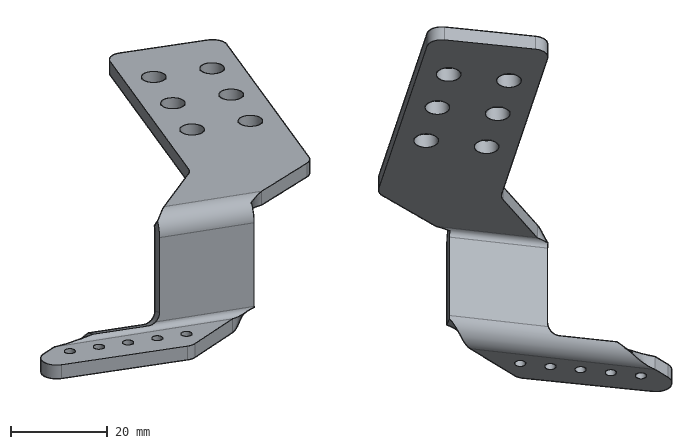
import cadquery as cq
import math

length = 84.7
height = 28.55
thickness = 3.2
inner_radius = 1.35
outer_radius = inner_radius + thickness
corner_radius = 3.1
skew_slope = math.tan(math.radians(1.1))
margin = 8.5

plate_width = 25.4
plate_back_end = 59.3
plate_front_end = 56.25
plate_hole_diameter = 5.1
plate_hole_pitch = 12.7
plate_hole_columns = 3
plate_hole_rows = 2

web_face = 74.4
web_inside = web_face - thickness
web_back = 8.05
web_front = -12.7
plate_back = 11.2
plate_front = -10.25

tip_y = -40.7
tip_radius = 3.3
tip_edge_angle = math.radians(53)
tip_edge_slope = math.tan(tip_edge_angle)
tip_center_x = length - tip_radius
tip_center_y = tip_y + tip_radius
tip_tangent_x = tip_center_x - tip_radius * math.sin(tip_edge_angle)
tip_tangent_y = tip_center_y - tip_radius * math.cos(tip_edge_angle)
flange_start = web_face + inner_radius
lower_bend_z = -height + outer_radius
flange_back = 2.9
flange_back_corner = -8.9
flange_front = tip_tangent_y + (tip_tangent_x - flange_start) * tip_edge_slope
flange_front /= 1 - skew_slope * tip_edge_slope
flange_hole_diameter = 2.3
flange_hole_x = 79.3
flange_hole_start = -8.4
flange_hole_pitch = 6.35
flange_hole_count = 5

upper_back_angle = 55.0
upper_front_angle = 45.0
lower_back_angle = 190.0
notch_angle = 200.0
notch_end_y = -27.4
notch_radius = 2.5
trim_inner = inner_radius / 3
trim_outer = 2 * outer_radius


def extrude_along_y(sketch, y_from, y_to):
    """Extrude an XZ sketch drawn at Y = y_to down to y_from."""
    return sketch.extrude(y_to - y_from)


def skew_shift(y):
    """X offset of the bend lines at a given Y."""
    return -y * skew_slope


def bend_center(upper, y):
    """X and Z of a bend axis at a given Y."""
    if upper:
        return (web_inside - inner_radius + skew_shift(y), -outer_radius)
    return (flange_start + skew_shift(y), lower_bend_z)


def polar(center, radius, angle):
    """X and Z at a radius and angle (degrees) around a bend axis."""
    turn = math.radians(angle)
    return (center[0] + radius * math.cos(turn), center[1] + radius * math.sin(turn))


def bent_sheet():
    """Z-shaped sheet section, extruded along the skewed bend direction."""
    y_from = tip_y - margin
    y_to = plate_width + margin
    upper_center = bend_center(True, 0)
    lower_center = bend_center(False, 0)
    far_x = length + margin
    profile = (
        cq.Workplane("XZ", origin=(0, y_to, 0))
        .moveTo(-margin, 0)
        .lineTo(upper_center[0], 0)
        .threePointArc(polar(upper_center, outer_radius, 45), (web_face, -outer_radius))
        .lineTo(web_face, lower_bend_z)
        .threePointArc(polar(lower_center, inner_radius, 225), (flange_start, -height + thickness))
        .lineTo(far_x, -height + thickness)
        .lineTo(far_x, -height)
        .lineTo(flange_start, -height)
        .threePointArc(polar(lower_center, outer_radius, 225), (web_inside, lower_bend_z))
        .lineTo(web_inside, -outer_radius)
        .threePointArc(polar(upper_center, inner_radius, 45), (upper_center[0], -thickness))
        .lineTo(-margin, -thickness)
        .close()
    )
    sheet = extrude_along_y(profile, y_from, y_to)
    return sheet.rotate((web_face, 0, 0), (web_face, 0, 1), math.degrees(math.atan(skew_slope)))


def plan_outline():
    """Vertical prism bounding the part in plan."""
    plate_back_x = bend_center(True, plate_back)[0]
    plate_front_x = bend_center(True, plate_front)[0]
    flange_back_x = bend_center(False, flange_back)[0]
    flange_front_x = bend_center(False, flange_front)[0]
    prism = (
        cq.Workplane("XY", origin=(0, 0, -height - margin))
        .moveTo(0, 0)
        .lineTo(0, plate_width)
        .lineTo(plate_back_end, plate_width)
        .lineTo(plate_back_x, plate_back)
        .lineTo(flange_back_x, plate_back)
        .lineTo(flange_back_x, flange_back)
        .lineTo(length, flange_back_corner)
        .lineTo(length, tip_center_y)
        .threePointArc((tip_center_x, tip_y), (tip_tangent_x, tip_tangent_y))
        .lineTo(flange_front_x, flange_front)
        .lineTo(plate_front_x, flange_front)
        .lineTo(plate_front_x, plate_front)
        .lineTo(plate_front_end, 0)
        .close()
        .extrude(height + 2 * margin)
    )
    rounded_corners = [
        (0, 0),
        (0, plate_width),
        (plate_back_end, plate_width),
        (plate_front_end, 0),
        (length, flange_back_corner),
    ]
    for x, y in rounded_corners:
        corner = cq.selectors.NearestToPointSelector((x, y, -height / 2))
        prism = prism.edges("|Z").edges(corner).fillet(corner_radius)
    return prism


def bend_trim(upper, flat_y, angle_end, web_y, y_outside):
    """Cutter for a slanted edge running round a bend.

    The edge runs from flat_y, where the bend leaves the flat sheet, to web_y at angle_end.
    Material is removed from there to y_outside.
    """
    center = bend_center(upper, flat_y)
    wires = []
    angle_flat = 90 if upper else 270
    for angle, y in ((angle_flat, flat_y), (angle_end, web_y)):
        inner_x, inner_z = polar(center, trim_inner, angle)
        outer_x, outer_z = polar(center, trim_outer, angle)
        corners = [
            cq.Vector(inner_x, y, inner_z),
            cq.Vector(outer_x, y, outer_z),
            cq.Vector(outer_x, y_outside, outer_z),
            cq.Vector(inner_x, y_outside, inner_z),
        ]
        wires.append(cq.Wire.makePolygon(corners, close=True))
    return cq.Workplane(cq.Solid.makeLoft(wires, True))


def web_side_cutter(upper, flat_y, angle, limit_z, y_from, y_to):
    """Cutter beside the web, ending on a radial plane in one of the bends."""
    center = bend_center(upper, flat_y)
    outer_x, outer_z = polar(center, outer_radius + margin, angle)
    sketch = (
        cq.Workplane("XZ", origin=(0, y_to, 0))
        .moveTo(*center)
        .lineTo(outer_x, outer_z)
        .lineTo(outer_x, limit_z)
        .lineTo(center[0], limit_z)
        .close()
    )
    return extrude_along_y(sketch, y_from, y_to)


def front_notch():
    """Space in front of the web, rounded where the web meets the lower bend."""
    notch = web_side_cutter(False, flange_front, notch_angle, margin, tip_y - margin, web_front)
    return notch.faces(">Y").edges("<Z").fillet(notch_radius)


def back_relief():
    """Space behind the web, below the upper bend."""
    limit_z = -height - margin
    return web_side_cutter(True, plate_back, upper_back_angle, limit_z, web_back, plate_width + margin)


def drill(part, points, diameter):
    tool = (
        cq.Workplane("XY", origin=(0, 0, -height - margin))
        .pushPoints(points)
        .circle(diameter / 2)
        .extrude(height + 2 * margin)
    )
    return part.cut(tool)


plate_holes = [
    (plate_hole_pitch * (column + 1), plate_hole_pitch * (row + 0.5))
    for column in range(plate_hole_columns)
    for row in range(plate_hole_rows)
]
flange_holes = [
    (flange_hole_x, flange_hole_start - flange_hole_pitch * index)
    for index in range(flange_hole_count)
]

edge_cutters = [
    bend_trim(True, plate_back, upper_back_angle, web_back, plate_width + margin),
    bend_trim(True, plate_front, upper_front_angle, web_front, web_front - margin),
    bend_trim(False, flange_back, lower_back_angle, web_back, plate_width + margin),
    bend_trim(False, flange_front, notch_angle, notch_end_y, tip_y - margin),
    back_relief(),
    front_notch(),
]
result = bent_sheet()
for cutter in edge_cutters:
    result = result.cut(cutter)
result = result.intersect(plan_outline())
result = drill(result, plate_holes, plate_hole_diameter)
result = drill(result, flange_holes, flange_hole_diameter)